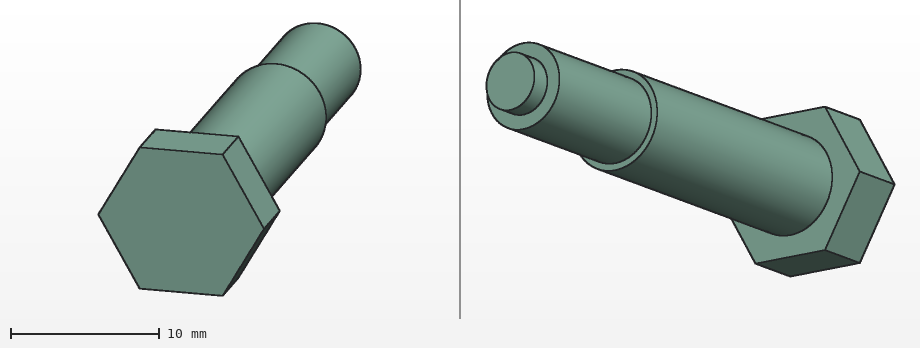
import cadquery as cq
import math

total_length = 36.0

head_across_flats = 10.0
head_length = 4.0
head_across_corners = head_across_flats / math.cos(math.radians(30))

shoulder_diameter = 7.0
shoulder_length = 20.0
thread_diameter = 6.0
thread_length = 10.5
pilot_diameter = 4.0
pilot_length = total_length - head_length - shoulder_length - thread_length


def section_plane(y):
    """Plane across the bolt axis at y, with its normal along +Y."""
    return cq.Plane(origin=(0, y, 0), xDir=(1, 0, 0), normal=(0, 1, 0))


result = (
    cq.Workplane(section_plane(0))
    .polygon(6, head_across_corners)
    .extrude(head_length)
)

shank_steps = [
    (shoulder_diameter, shoulder_length),
    (thread_diameter, thread_length),
    (pilot_diameter, pilot_length),
]
step_start = head_length
for diameter, length in shank_steps:
    step = cq.Workplane(section_plane(step_start)).circle(diameter / 2).extrude(length)
    result = result.union(step)
    step_start += length